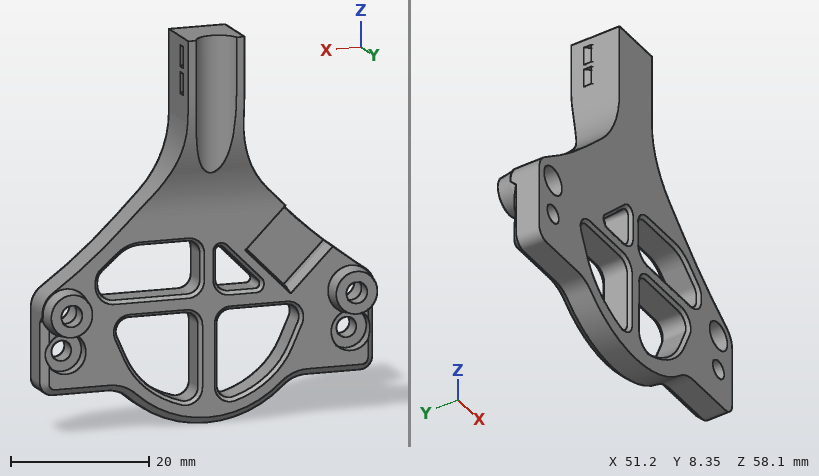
import cadquery as cq
import math

total_height = 58.1
overall_width = 51.15
half_width = overall_width / 2
neck_depth = 8.35
plate_depth = 5.0

neck_width = 8.65
neck_half_width = neck_width / 2
neck_base_z = 45.75
neck_arc_radius = 16.05
flank_start_x = 12.5
foot_z = 6.0
foot_corner_radius = 2.0
belly_radius = 17.5
belly_blend_radius = 5.0

mount_spacing = 43.85
mount_x = mount_spacing / 2
mount_z = 18.35
mount_corner_radius = half_width - mount_x
mount_bore_diameter = 4.7
mount_bore_depth = plate_depth
mount_hole_diameter = 3.2
boss_base_diameter = 7.1
boss_tip_diameter = 6.35
boss_height = 2.5
screw_z = 12.25
screw_hole_diameter = 3.0
screw_counterbore_diameter = 6.1
screw_counterbore_depth = 2.0

rear_bevel = 1.05
rear_bevel_top_z = 18.0
ramp_top_z = 50.25
ramp_convex_radius = 35.0
ramp_concave_radius = 20.0

window_chamfer = 0.5
window_corner_radius = 2.0
upper_window_sill_z = 19.5
lower_window_top_z = 16.8
lower_window_inner_x = 1.45
lower_window_arc_radius = 14.35
lower_window_side_distance = 14.1
lower_window_side_blend_radius = 12.0
lower_window_side_angle = 66.0
wide_window_left_x = 1.15
wide_window_right_x = 16.9
wide_window_top_z = 27.4
wide_window_top_end_x = 12.25
wide_window_slope_angle = 41.0
wide_window_top_radius = 5.0
wide_window_right_radius = 2.45
triangle_right_x = -1.2
triangle_tip_radius = 0.7
triangle_tip_z = 27.3

pocket_center_x = -15.4
pocket_center_z = 28.15
pocket_width = 9.05
pocket_reach = 8.4
pocket_floor_y = 1.75
pocket_step_y = 3.0
pocket_flare = 0.4

groove_radius = 3.25
groove_depth = 2.3
strap_inner_radius = 5.35
strap_outer_radius = 6.2
strap_height = 3.15
strap_bottoms = (49.6, 53.6)


def polar(center, radius, degrees):
    """Point at an angle around a center."""
    angle = math.radians(degrees)
    return (center[0] + radius * math.cos(angle), center[1] + radius * math.sin(angle))


def direction(start, end):
    """Angle in degrees of the line from start to end."""
    return math.degrees(math.atan2(end[1] - start[1], end[0] - start[0]))


def arc(path, center, radius, start, end):
    """Continue a path with an arc between two angles around a center."""
    return path.threePointArc(polar(center, radius, (start + end) / 2), polar(center, radius, end))


def cylinder(x, z, diameter, start_y, length):
    """Cylinder along +Y."""
    return cq.Workplane("XZ", origin=(x, start_y, z)).circle(diameter / 2).extrude(-length)


def outline_solid():
    """Full outline extruded through the depth of the neck."""
    neck_center = (neck_half_width + neck_arc_radius, neck_base_z)
    neck_arc_end = polar(neck_center, neck_arc_radius, 225)
    flank_start = (flank_start_x, neck_arc_end[1] - (flank_start_x - neck_arc_end[0]))

    mount = (mount_x, mount_z)
    gap = (flank_start[0] - mount_x, flank_start[1] - mount_z)
    gap_along_normal = (gap[0] + gap[1]) / math.sqrt(2)
    flank_radius = (gap[0] ** 2 + gap[1] ** 2 - mount_corner_radius ** 2) / (
        2 * (mount_corner_radius - gap_along_normal)
    )
    flank_center = polar(flank_start, flank_radius, 45)
    corner_angle = direction(mount, flank_center)

    foot_center = (half_width - foot_corner_radius, foot_z + foot_corner_radius)
    belly_center = (0, belly_radius)
    blend_z = foot_z - belly_blend_radius
    blend_x = math.sqrt((belly_radius + belly_blend_radius) ** 2 - (belly_radius - blend_z) ** 2)
    blend_center = (blend_x, blend_z)
    belly_angle = direction(belly_center, blend_center)

    path = cq.Workplane("XZ").moveTo(0, total_height).lineTo(neck_half_width, total_height)
    path = path.lineTo(neck_half_width, neck_base_z)
    path = arc(path, neck_center, neck_arc_radius, 180, 225)
    path = path.lineTo(*flank_start)
    path = arc(path, flank_center, flank_radius, 225, 180 + corner_angle)
    path = arc(path, mount, mount_corner_radius, corner_angle, 0)
    path = path.lineTo(half_width, foot_center[1])
    path = arc(path, foot_center, foot_corner_radius, 0, -90)
    path = path.lineTo(blend_x, foot_z)
    path = arc(path, blend_center, belly_blend_radius, 90, 180 + belly_angle)
    path = arc(path, belly_center, belly_radius, belly_angle, -90)
    half = path.close().extrude(-neck_depth)
    return half.union(half.mirror("YZ")).clean()


def side_profile():
    """Side shape of the upper part: bevelled lower end, flat plate, S-shaped ramp and neck."""
    rise = neck_depth - plate_depth
    sweep = math.degrees(math.acos(1 - rise / (ramp_convex_radius + ramp_concave_radius)))
    ramp_length = (ramp_convex_radius + ramp_concave_radius) * math.sin(math.radians(sweep))
    ramp_bottom_z = ramp_top_z - ramp_length
    concave_center = (plate_depth + ramp_concave_radius, ramp_bottom_z)
    convex_center = (neck_depth - ramp_convex_radius, ramp_top_z)

    path = cq.Workplane("YZ", origin=(-half_width, 0, 0)).moveTo(0, rear_bevel_top_z - rear_bevel)
    path = path.lineTo(plate_depth - rear_bevel, rear_bevel_top_z - rear_bevel)
    path = path.lineTo(plate_depth, rear_bevel_top_z).lineTo(plate_depth, ramp_bottom_z)
    path = arc(path, concave_center, ramp_concave_radius, 180, 180 - sweep)
    path = arc(path, convex_center, ramp_convex_radius, -sweep, 0)
    path = path.lineTo(neck_depth, total_height).lineTo(0, total_height)
    return path.close().extrude(2 * half_width)


def bracket_body():
    outline = outline_solid()
    plate_space = cq.Workplane("XY").box(
        2 * half_width, plate_depth, total_height, centered=(True, False, False)
    )
    plate = outline.intersect(plate_space).faces(">Y").edges().chamfer(rear_bevel)
    return plate.union(outline.intersect(side_profile()))


def round_corners(cutter, corners):
    """Round upright edges of a cutter; each corner is (point, radius)."""
    for (x, z), radius in corners:
        edge = cq.selectors.NearestToPointSelector((x, plate_depth / 2, z))
        cutter = cutter.edges("|Y").edges(edge).fillet(radius)
    return cutter


def wide_window():
    slope = math.tan(math.radians(wide_window_slope_angle))
    slope_end_z = wide_window_top_z - slope * (wide_window_right_x - wide_window_top_end_x)
    corners = [
        (wide_window_left_x, upper_window_sill_z),
        (wide_window_left_x, wide_window_top_z),
        (wide_window_top_end_x, wide_window_top_z),
        (wide_window_right_x, slope_end_z),
        (wide_window_right_x, upper_window_sill_z),
    ]
    radii = [
        window_corner_radius,
        window_corner_radius,
        wide_window_top_radius,
        window_corner_radius,
        wide_window_right_radius,
    ]
    cutter = cq.Workplane("XZ").polyline(corners).close().extrude(-plate_depth)
    return round_corners(cutter, zip(corners, radii))


def triangle_window():
    leg = triangle_tip_z - upper_window_sill_z
    corners = [
        (triangle_right_x, upper_window_sill_z),
        (triangle_right_x, triangle_tip_z),
        (triangle_right_x - leg, upper_window_sill_z),
    ]
    radii = [window_corner_radius, triangle_tip_radius, triangle_tip_radius]
    cutter = cq.Workplane("XZ").polyline(corners).close().extrude(-plate_depth)
    return round_corners(cutter, zip(corners, radii))


def lower_window():
    """Right lower window: rib side, top, slanted side and an arc concentric with the belly."""
    center = (0, belly_radius)
    half_chord_angle = math.degrees(math.acos(lower_window_side_distance / lower_window_arc_radius))
    side_start_angle = lower_window_side_angle - 90 - half_chord_angle
    side_start = polar(center, lower_window_arc_radius, side_start_angle)
    side_rise = lower_window_top_z - side_start[1]
    side_run = side_rise / math.tan(math.radians(lower_window_side_angle))
    top_outer = (side_start[0] + side_run, lower_window_top_z)
    top_inner = (lower_window_inner_x, lower_window_top_z)
    bottom_angle = -math.degrees(math.acos(lower_window_inner_x / lower_window_arc_radius))
    bottom = polar(center, lower_window_arc_radius, bottom_angle)

    path = cq.Workplane("XZ").moveTo(*bottom).lineTo(*top_inner).lineTo(*top_outer).lineTo(*side_start)
    path = arc(path, center, lower_window_arc_radius, side_start_angle, bottom_angle)
    cutter = path.close().extrude(-plate_depth)
    corners = [(corner, window_corner_radius) for corner in (bottom, top_inner, top_outer)]
    corners.append((side_start, lower_window_side_blend_radius))
    return round_corners(cutter, corners)


def chamfer_rims(body, flat_face):
    """Chamfer every opening in a flat face of the body."""
    rims = [edge for rim in flat_face.val().innerWires() for edge in rim.Edges()]
    return body.newObject(rims).chamfer(window_chamfer)


def cut_windows(body):
    """Cut the four windows and chamfer their front and rear rims."""
    lower = lower_window()
    for window in (wide_window(), triangle_window(), lower, lower.mirror("YZ")):
        body = body.cut(window)
    body = chamfer_rims(body, body.faces("<Y"))
    rear_center = cq.selectors.NearestToPointSelector((0, plate_depth, belly_radius))
    return chamfer_rims(body, body.faces("|Y").faces(rear_center))


def flank_pocket():
    """Square-cornered pocket across the left flank, flared above its step."""
    plane = cq.Plane(
        origin=(pocket_center_x, pocket_floor_y, pocket_center_z), xDir=(1, 0, 1), normal=(0, 1, 0)
    )
    length = 2 * pocket_reach
    step = pocket_step_y - pocket_floor_y
    flare_rise = plate_depth - pocket_step_y
    straight = cq.Workplane(plane).rect(pocket_width, length).extrude(step)
    flared = (
        cq.Workplane(plane).workplane(offset=step).rect(pocket_width, length)
        .workplane(offset=flare_rise).rect(pocket_width + 2 * pocket_flare, length + 2 * pocket_flare)
        .loft()
    )
    above = (
        cq.Workplane(plane).workplane(offset=step + flare_rise)
        .rect(pocket_width + 2 * pocket_flare, length + 2 * pocket_flare)
        .extrude(neck_depth - plate_depth)
    )
    return straight.union(flared).union(above)


def boss(x):
    """Tapered boss; its straight root fills the rear bevel beside it."""
    rear = cq.Workplane("XZ", origin=(x, plate_depth, mount_z))
    cone = (
        rear.circle(boss_base_diameter / 2)
        .workplane(offset=-boss_height).circle(boss_tip_diameter / 2).loft()
    )
    return cone.union(cylinder(x, mount_z, boss_base_diameter, 0, plate_depth))


def add_mounts(body):
    counterbore_y = plate_depth - screw_counterbore_depth
    for x in (-mount_x, mount_x):
        body = body.cut(
            cylinder(x, screw_z, screw_counterbore_diameter, counterbore_y, screw_counterbore_depth)
        )
        body = body.union(boss(x))
        body = body.cut(cylinder(x, screw_z, screw_hole_diameter, 0, counterbore_y))
        body = body.cut(cylinder(x, mount_z, mount_bore_diameter, 0, mount_bore_depth))
        body = body.cut(cylinder(x, mount_z, mount_hole_diameter, 0, plate_depth + boss_height))
    return body


def cut_neck(body):
    """Rod groove down the rear of the neck and strap slots curving around it."""
    axis_y = neck_depth - groove_depth + groove_radius
    groove = cq.Workplane("XY").center(0, axis_y).circle(groove_radius).extrude(total_height)
    body = body.cut(groove)
    for bottom in strap_bottoms:
        ring = (
            cq.Workplane("XY", origin=(0, axis_y, bottom))
            .circle(strap_outer_radius).circle(strap_inner_radius).extrude(strap_height)
        )
        body = body.cut(ring)
    return body


result = cut_windows(bracket_body())
result = result.cut(flank_pocket())
result = add_mounts(result)
result = cut_neck(result)